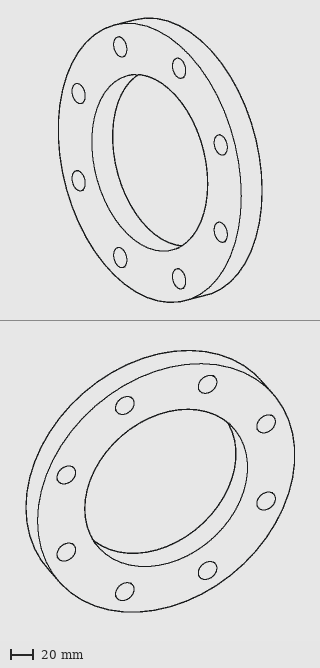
import cadquery as cq

outer_diameter = 250.0
bore_diameter = 158.0
thickness = 24.0

bolt_hole_count = 8
bolt_hole_diameter = 18.0
bolt_circle_diameter = 210.0
first_bolt_angle = 360.0 / bolt_hole_count / 2


def make_ring():
    """Flat ring with one face on the XZ plane, extending towards -Y."""
    return (
        cq.Workplane("XZ")
        .circle(outer_diameter / 2)
        .circle(bore_diameter / 2)
        .extrude(thickness)
    )


def make_bolt_holes():
    """Cylinders to cut through the full thickness of the ring."""
    return (
        cq.Workplane("XZ")
        .polarArray(bolt_circle_diameter / 2, first_bolt_angle, 360, bolt_hole_count)
        .circle(bolt_hole_diameter / 2)
        .extrude(thickness)
    )


result = make_ring().cut(make_bolt_holes())